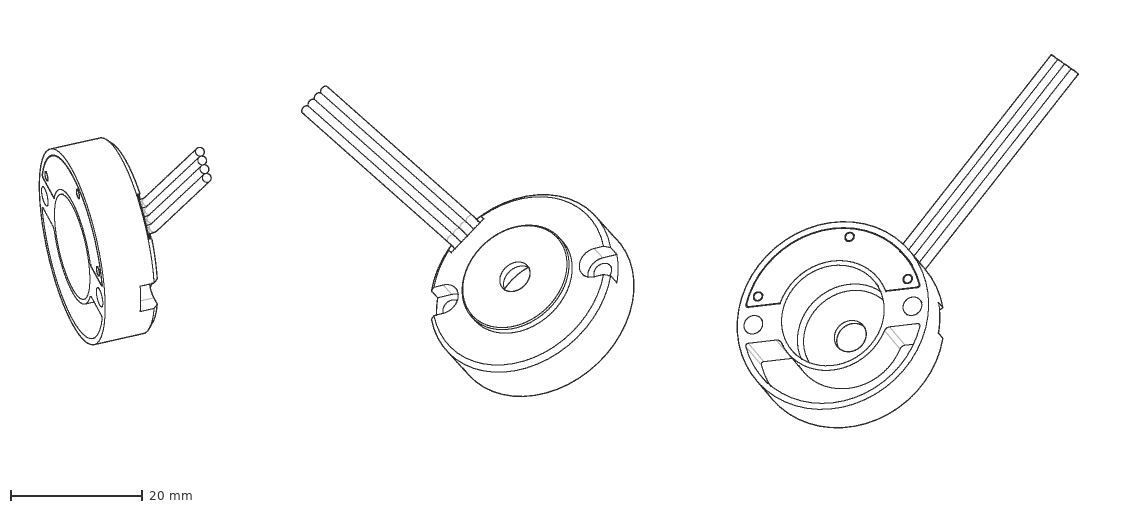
import cadquery as cq
import math


RING_RADIUS = 15.3
RING_DEPTH = 8.75
BACK_EDGE_CHAMFER = 0.8

BOSS_RADIUS = 9.0
BOSS_HEIGHT = 1.4
BOSS_CHAMFER = 0.25
TOTAL_DEPTH = RING_DEPTH + BOSS_HEIGHT

BORE_RADIUS = 8.2
BORE_FLOOR_RADIUS = 7.45
BORE_DEPTH = 8.8
BORE_CONE_DEPTH = BORE_RADIUS - BORE_FLOOR_RADIUS
SHAFT_HOLE_RADIUS = 2.55

MOUNT_OFFSET = 12.7
MOUNT_HOLE_RADIUS = 1.5
SEAT_SLOT_WIDTH = 5.0
SEAT_SLOT_DEPTH = 3.05

POCKET_OUTER_RADIUS = 14.3
POCKET_INNER_RADIUS = 8.95
POCKET_EDGE_OFFSET = 2.95
POCKET_OUTER_FILLET = 0.4
POCKET_INNER_FILLET = 0.85
LOWER_POCKET_DEPTH = 7.9

PLATE_THICKNESS = 1.6
PLATE_GAP = 0.1
PIN_RADIUS = 0.65
PIN_HOLE_RADIUS = PIN_RADIUS + PLATE_GAP
PIN_POINTS = [(-11.95, 4.55), (11.95, 4.55), (2.65, 12.6)]

WIRE_COUNT = 4
WIRE_RADIUS = 0.7
WIRE_PITCH = 2 * WIRE_RADIUS
WIRE_ANGLE = 50.0
WIRE_AXIS_DEPTH = 9.3
WIRE_BEND_RADIUS = 0.8
WIRE_ENTRY_DISTANCE = 14.1
WIRE_END_DISTANCE = 53.0

WIRE_RECESS_WIDTH = 7.15
WIRE_RECESS_DEPTH = 0.6
WIRE_RECESS_START = WIRE_ENTRY_DISTANCE - WIRE_RADIUS
WIRE_RECESS_FLOOR = RING_DEPTH - WIRE_RECESS_DEPTH


def front_plane(depth=0.0):
    """XZ sketch plane at the given depth, extruding toward +Y; its local y is -Z."""
    return cq.Workplane(cq.Plane(origin=(0, depth, 0), xDir=(1, 0, 0), normal=(0, 1, 0)))


def cylinder(radius, start, end, x=0.0, z=0.0):
    """Cylinder along Y between two depths."""
    return front_plane(start).center(x, -z).circle(radius).extrude(end - start)


def half_ring(outer_radius, inner_radius, edge_offset, depth):
    """Upper half-ring prism from the front face, cut flat above the center line."""
    outer_x = math.sqrt(outer_radius**2 - edge_offset**2)
    inner_x = math.sqrt(inner_radius**2 - edge_offset**2)
    return (
        front_plane()
        .moveTo(-outer_x, -edge_offset)
        .threePointArc((0, -outer_radius), (outer_x, -edge_offset))
        .lineTo(inner_x, -edge_offset)
        .threePointArc((0, -inner_radius), (-inner_x, -edge_offset))
        .close()
        .extrude(depth)
    )


def corner_edges(prism, corner_x):
    """The edges along Y of a half-ring prism that lie further from the center plane than corner_x."""
    return prism.edges("|Y").filter(lambda edge: abs(edge.Center().x) > corner_x)


def pocket(depth):
    """Upper half-ring pocket with its outer corners rounded."""
    prism = half_ring(POCKET_OUTER_RADIUS, POCKET_INNER_RADIUS, POCKET_EDGE_OFFSET, depth)
    return corner_edges(prism, POCKET_INNER_RADIUS).fillet(POCKET_OUTER_FILLET)


def lower_pocket():
    """Deep pocket below the center line, with its inner corners rounded as well."""
    rounded = pocket(LOWER_POCKET_DEPTH)
    inner_corners = rounded.edges("|Y").filter(lambda edge: abs(edge.Center().x) < POCKET_INNER_RADIUS)
    return inner_corners.fillet(POCKET_INNER_FILLET).mirror("XY")


def bore():
    """Stepped bore: straight wall, conical bottom and shaft hole."""
    cone_start = BORE_DEPTH - BORE_CONE_DEPTH
    return (
        cq.Workplane("XY")
        .polyline(
            [
                (0, 0),
                (BORE_RADIUS, 0),
                (BORE_RADIUS, cone_start),
                (BORE_FLOOR_RADIUS, BORE_DEPTH),
                (SHAFT_HOLE_RADIUS, BORE_DEPTH),
                (SHAFT_HOLE_RADIUS, TOTAL_DEPTH),
                (0, TOTAL_DEPTH),
            ]
        )
        .close()
        .revolve(360, (0, 0, 0), (0, 1, 0))
    )


def mount_cut(side):
    """Through hole and rim-open seat slot on the side given by -1 or 1."""
    center_x = side * MOUNT_OFFSET
    slot_start = RING_DEPTH - SEAT_SLOT_DEPTH
    slot_end_x = side * (RING_RADIUS + SEAT_SLOT_WIDTH)
    slot_channel = (
        front_plane(slot_start)
        .center((center_x + slot_end_x) / 2, 0)
        .rect(abs(slot_end_x - center_x), SEAT_SLOT_WIDTH)
        .extrude(SEAT_SLOT_DEPTH)
    )
    hole = cylinder(MOUNT_HOLE_RADIUS, 0, RING_DEPTH, center_x)
    slot_round = cylinder(SEAT_SLOT_WIDTH / 2, slot_start, RING_DEPTH, center_x)
    return hole.union(slot_round).union(slot_channel)


def turn_to_wire_direction(body):
    """Turn a body built along +X into the direction of the wires."""
    return body.rotate((0, 0, 0), (0, 1, 0), -WIRE_ANGLE)


def wire_recess():
    """Flat recess in the back rim, open outward."""
    length = RING_RADIUS - WIRE_RECESS_START
    block = (
        front_plane(WIRE_RECESS_FLOOR)
        .center(WIRE_RECESS_START + length / 2, 0)
        .rect(length, WIRE_RECESS_WIDTH)
        .extrude(WIRE_RECESS_DEPTH)
    )
    return turn_to_wire_direction(block)


def make_housing():
    ring = cylinder(RING_RADIUS, 0, RING_DEPTH).faces(">Y").edges().chamfer(BACK_EDGE_CHAMFER)
    boss = cylinder(BOSS_RADIUS, RING_DEPTH, TOTAL_DEPTH).faces(">Y").edges().chamfer(BOSS_CHAMFER)
    housing = ring.union(boss).cut(bore())
    housing = housing.cut(pocket(PLATE_THICKNESS)).cut(lower_pocket())
    for side in (-1, 1):
        housing = housing.cut(mount_cut(side))
    housing = housing.cut(wire_recess())
    for x, z in PIN_POINTS:
        housing = housing.union(cylinder(PIN_RADIUS, 0, PLATE_THICKNESS, x, z))
    return housing


def make_plate():
    """Plate on the pocket floor, touching the inner wall and clear of the other walls and the pins."""
    plate = half_ring(
        POCKET_OUTER_RADIUS - PLATE_GAP,
        POCKET_INNER_RADIUS,
        POCKET_EDGE_OFFSET + PLATE_GAP,
        PLATE_THICKNESS,
    )
    plate = corner_edges(plate, POCKET_INNER_RADIUS).fillet(POCKET_OUTER_FILLET)
    for x, z in PIN_POINTS:
        plate = plate.cut(cylinder(PIN_HOLE_RADIUS, 0, PLATE_THICKNESS, x, z))
    return plate


def make_wire(offset):
    """Wire that rises from the recess floor, bends outward and runs straight to its end."""
    bend_start_depth = WIRE_AXIS_DEPTH - WIRE_BEND_RADIUS
    bend_end_distance = WIRE_ENTRY_DISTANCE + WIRE_BEND_RADIUS
    diagonal = WIRE_BEND_RADIUS * math.sqrt(0.5)
    bend_middle = (bend_end_distance - diagonal, bend_start_depth + diagonal)
    path = (
        cq.Workplane("XY", origin=(0, 0, offset))
        .moveTo(WIRE_ENTRY_DISTANCE, WIRE_RECESS_FLOOR)
        .lineTo(WIRE_ENTRY_DISTANCE, bend_start_depth)
        .threePointArc(bend_middle, (bend_end_distance, WIRE_AXIS_DEPTH))
        .lineTo(WIRE_END_DISTANCE, WIRE_AXIS_DEPTH)
    )
    section = front_plane(WIRE_RECESS_FLOOR).center(WIRE_ENTRY_DISTANCE, -offset).circle(WIRE_RADIUS)
    return turn_to_wire_direction(section.sweep(path))


housing = make_housing()
plate = make_plate()
wires = [make_wire((index - (WIRE_COUNT - 1) / 2) * WIRE_PITCH) for index in range(WIRE_COUNT)]

result = cq.Compound.makeCompound([housing.val(), plate.val(), *[wire.val() for wire in wires]])